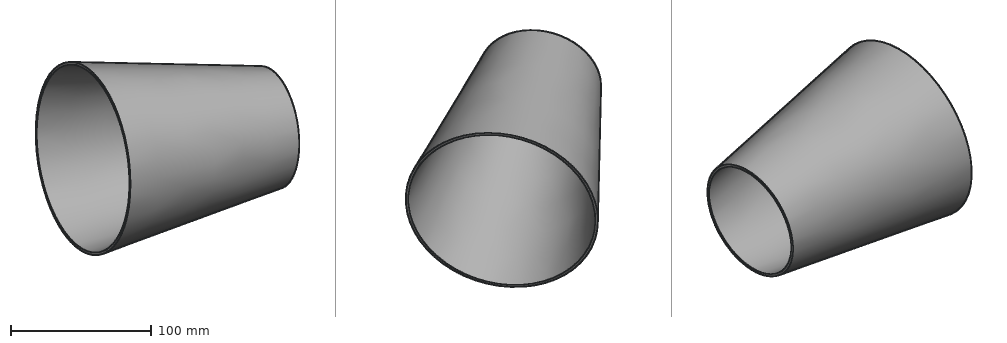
import cadquery as cq

length = 152.0
large_diameter = 139.7
small_diameter = 88.9
wall = 2.0

large_radius = large_diameter / 2
small_radius = small_diameter / 2

wall_section = [
    (large_radius - wall, 0),
    (large_radius, 0),
    (small_radius, length),
    (small_radius - wall, length),
]

result = cq.Workplane("XY").polyline(wall_section).close().revolve(360, (0, 0, 0), (0, 1, 0))